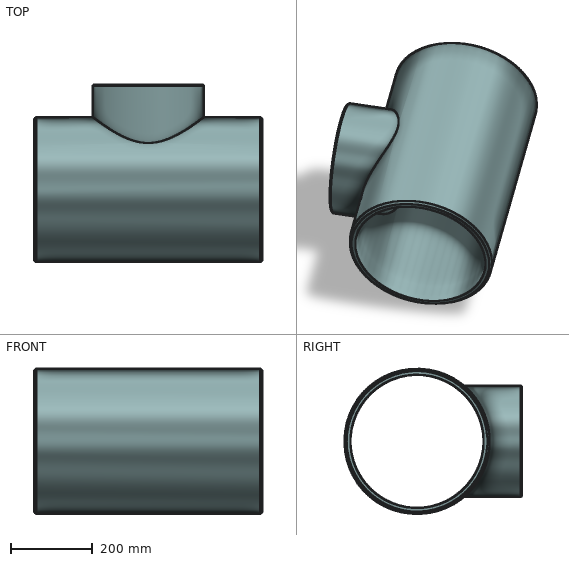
import cadquery as cq

run_length = 559.0
run_diameter = 355.5
run_wall = 15.0

branch_reach = 257.0
branch_diameter = 272.5
branch_wall = 15.0

run_bevel_depth = 5.5
run_bevel_length = 5.5
branch_bevel_depth = 4.0
branch_bevel_length = 4.0


def beveled_bar(radius, start, end, bevel_depth, bevel_length, bevel_start):
    """Solid bar along +Y, beveled at its end and, if asked, at its start."""
    outline = cq.Workplane("XY").moveTo(0, start)
    if bevel_start:
        outline = outline.lineTo(radius - bevel_depth, start).lineTo(radius, start + bevel_length)
    else:
        outline = outline.lineTo(radius, start)
    outline = outline.lineTo(radius, end - bevel_length).lineTo(radius - bevel_depth, end)
    return outline.lineTo(0, end).close().revolve(360, (0, 0, 0), (0, 1, 0))


def along_x(bar):
    """Turn a bar from the Y axis to the X axis."""
    return bar.rotate((0, 0, 0), (0, 0, 1), -90)


run = along_x(
    beveled_bar(
        run_diameter / 2, -run_length / 2, run_length / 2, run_bevel_depth, run_bevel_length, True
    )
)
branch = beveled_bar(
    branch_diameter / 2, 0, branch_reach, branch_bevel_depth, branch_bevel_length, False
)

run_bore = cq.Workplane("YZ").circle(run_diameter / 2 - run_wall).extrude(run_length / 2, both=True)
branch_bore = (
    cq.Workplane("XZ").circle(branch_diameter / 2 - branch_wall).extrude(-branch_reach)
)

result = run.union(branch).cut(run_bore).cut(branch_bore)